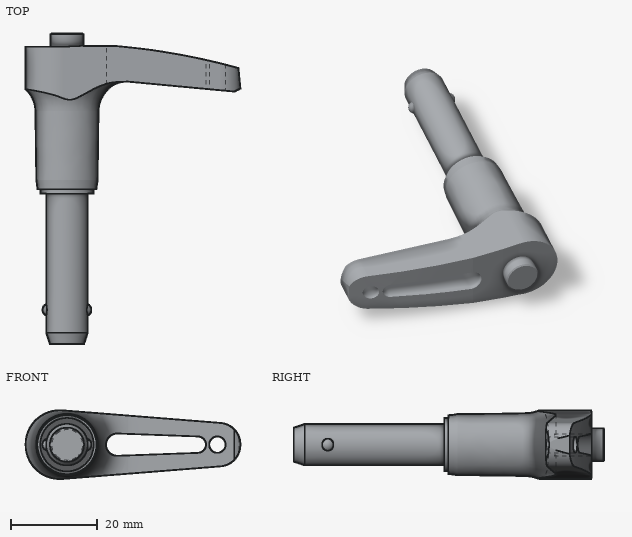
import cadquery as cq
import math


shaft_radius = 4.8
shaft_end_radius = 3.9
shaft_end_taper = 2.6
ball_radius = 1.4
ball_reach = 5.65
ball_y = 7.9

collar_start_y = 34.6
collar_radius = 6.15
sleeve_start_y = 35.6
sleeve_end_radius = 6.8
sleeve_body_y = 37.75
sleeve_body_radius = 7.1
flare_start_y = 53.6
sleeve_top_radius = 7.3
flare_fillet = 6.7

button_top_y = 71.5
button_radius = 3.825
button_chamfer = 0.3

head_radius = 7.95
head_left_x = -9.545
head_center_x = head_left_x + head_radius
tip_radius = 5.04
tip_right_x = 39.93
tip_center_x = tip_right_x - tip_radius

head_top_y = 68.4
arm_top_y = 68.605
arm_top_rise_x = 3.8
arm_curve_start_x = 11.1
arm_curve_middle = (25.0, 66.8)
tip_top = (39.5, 63.5)
tip_face_bottom_y = 58.8
tip_bottom = (38.5, 58.05)
flare_top_y = flare_start_y + flare_fillet
flare_outer_radius = sleeve_top_radius + flare_fillet

slot_head_radius = 2.54
slot_head_x = 11.55
slot_tip_radius = 1.85
slot_tip_x = 30.1
cord_hole_radius = 1.85
cord_hole_x = 34.6


def tapered_slot(x1, radius1, x2, radius2):
    """Prism along Y around two circles on the X axis joined by their outer tangents."""
    tilt = math.asin((radius1 - radius2) / (x2 - x1))
    start_x, start_z = x1 + radius1 * math.sin(tilt), radius1 * math.cos(tilt)
    end_x, end_z = x2 + radius2 * math.sin(tilt), radius2 * math.cos(tilt)
    return (
        cq.Workplane("XZ")
        .moveTo(start_x, start_z)
        .lineTo(end_x, end_z)
        .threePointArc((x2 + radius2, 0), (end_x, -end_z))
        .lineTo(start_x, -start_z)
        .threePointArc((x1 - radius1, 0), (start_x, start_z))
        .close()
        .extrude(-button_top_y)
    )


def make_arm():
    """Side profile of the handle, as wide as the head."""
    return (
        cq.Workplane("XY")
        .moveTo(head_left_x, flare_top_y)
        .lineTo(head_left_x, head_top_y)
        .lineTo(0, head_top_y)
        .lineTo(arm_top_rise_x, arm_top_y)
        .lineTo(arm_curve_start_x, arm_top_y)
        .threePointArc(arm_curve_middle, tip_top)
        .lineTo(tip_right_x, tip_face_bottom_y)
        .lineTo(*tip_bottom)
        .lineTo(flare_outer_radius, flare_top_y)
        .close()
        .extrude(head_radius, both=True)
    )


def make_flare():
    """Trumpet-shaped blend from the sleeve to the underside of the handle."""
    diagonal = flare_fillet * math.sqrt(0.5)
    return (
        cq.Workplane("XY")
        .moveTo(0, flare_start_y)
        .lineTo(sleeve_top_radius, flare_start_y)
        .threePointArc(
            (flare_outer_radius - diagonal, flare_start_y + diagonal),
            (flare_outer_radius, flare_top_y),
        )
        .lineTo(0, flare_top_y)
        .close()
        .revolve(360, (0, 0), (0, 1))
    )


def make_handle():
    outline = tapered_slot(head_center_x, head_radius, tip_center_x, tip_radius)
    slot = tapered_slot(slot_head_x, slot_head_radius, slot_tip_x, slot_tip_radius)
    cord_hole = (
        cq.Workplane("XZ").center(cord_hole_x, 0).circle(cord_hole_radius).extrude(-button_top_y)
    )
    return make_arm().union(make_flare()).intersect(outline).cut(slot).cut(cord_hole)


def make_pin():
    """Shaft, collar, sleeve and button turned about the Y axis."""
    return (
        cq.Workplane("XY")
        .polyline([
            (0, 0),
            (shaft_end_radius, 0),
            (shaft_radius, shaft_end_taper),
            (shaft_radius, collar_start_y),
            (collar_radius, collar_start_y),
            (collar_radius, sleeve_start_y),
            (sleeve_end_radius, sleeve_start_y),
            (sleeve_body_radius, sleeve_body_y),
            (sleeve_top_radius, flare_start_y),
            (button_radius, flare_start_y),
            (button_radius, button_top_y - button_chamfer),
            (button_radius - button_chamfer, button_top_y),
            (0, button_top_y),
        ])
        .close()
        .revolve(360, (0, 0), (0, 1))
    )


def make_ball(side):
    ball_x = side * (ball_reach - ball_radius)
    return cq.Workplane("XY").sphere(ball_radius).translate((ball_x, ball_y, 0))


result = make_pin().union(make_handle())
for side in (-1, 1):
    result = result.union(make_ball(side))